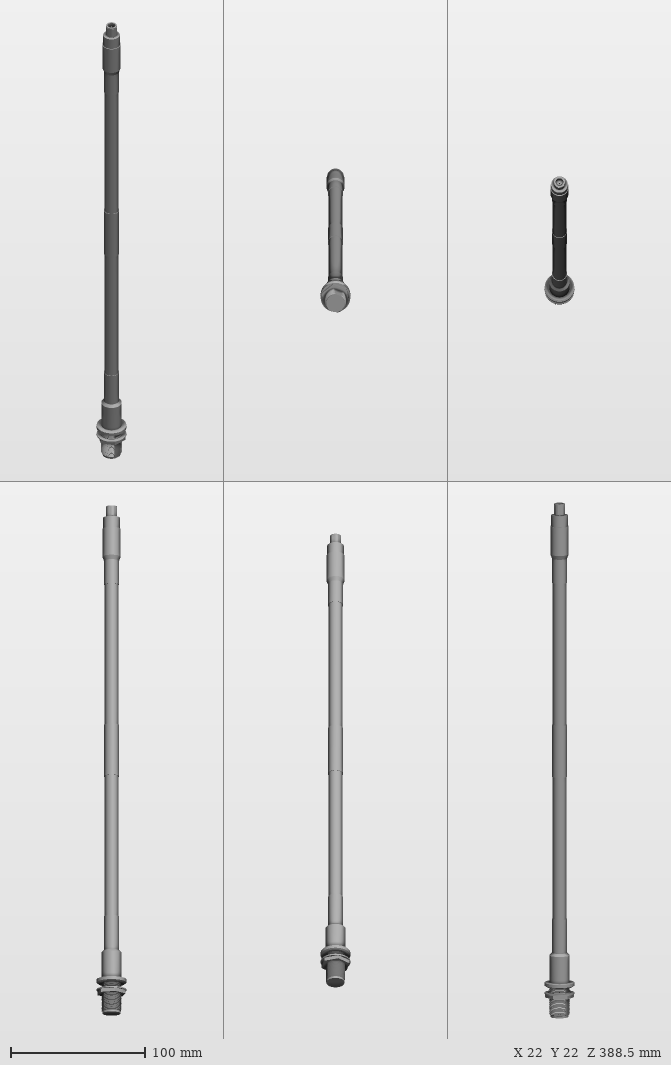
import cadquery as cq
import math

TOTAL_LENGTH = 388.5

CABLE_DIAMETER = 10.5
SLEEVE_DIAMETER = 11.3
LABEL_LENGTH = 39.3
UPPER_SLEEVE_END = 328.8
LOWER_SLEEVE_END = 74.2

PLUG_BODY_DIAMETER = 12.5
PLUG_BODY_TOP = 380.0
PLUG_BODY_BOTTOM = 371.5
PLUG_SLEEVE_DIAMETER = 13.5
PLUG_TAPER_TOP = 350.0
PLUG_TAPER_BOTTOM = 347.0

COUPLING_FLATS = 8.0
COUPLING_TURNED_DIAMETER = 8.5
COUPLING_CHAMFER = 0.6
COUPLING_LIP = 0.8
BORE_DIAMETER = 6.0
BORE_DEPTH = 6.0
INSULATOR_DIAMETER = 3.5
INSULATOR_LENGTH = 2.0
PIN_DIAMETER = 0.95
PIN_LENGTH = 4.5

FLANGE_DIAMETER = 22.0
FLANGE_TOP = 26.5
FLANGE_THICKNESS = 3.5
FLANGE_FACE_DIAMETER = 20.0
FLANGE_UPPER_BEVEL = 0.5
FLANGE_LOWER_BEVEL = 0.8
JACK_SLEEVE_DIAMETER = 15.0
JACK_TAPER_TOP = 48.5
JACK_TAPER_BOTTOM = 46.5

THREAD_DIAMETER = 15.5
THREAD_ROOT_DIAMETER = 14.5
THREAD_START = 2.5
THREAD_TURNS = 21
THREAD_FLATS = 13.2
NOSE_DIAMETER = 13.5
NOSE_LENGTH = 1.5

NUT_BOTTOM = 14.8
NUT_THICKNESS = 2.7
NUT_CORNERS = 21.8
WASHER_DIAMETER = FLANGE_DIAMETER
WASHER_THICKNESS = 0.97
WASHER_RIM_DIAMETER = 16.5
WASHER_RIM_HEIGHT = 0.5

FLANGE_BOTTOM = FLANGE_TOP - FLANGE_THICKNESS


def cylinder(diameter, bottom, top):
    return cq.Workplane("XY").workplane(offset=bottom).circle(diameter / 2).extrude(top - bottom)


def hexagon(across_corners, bottom, top):
    """Hexagonal prism with two corners in the YZ plane."""
    prism = cq.Workplane("XY").polygon(6, across_corners).extrude(top - bottom)
    return prism.rotate((0, 0, 0), (0, 0, 1), 90).translate((0, 0, bottom))


def revolved(profile):
    """Solid of revolution about Z from (diameter, height) points."""
    points = [(diameter / 2, height) for diameter, height in profile]
    return cq.Workplane("XZ").polyline(points).close().revolve(360, (0, 0), (0, 1))


def make_cable():
    return cylinder(CABLE_DIAMETER, FLANGE_TOP, PLUG_BODY_BOTTOM)


def make_label():
    """Short sleeve halfway between the two heat-shrink sleeves."""
    middle = (UPPER_SLEEVE_END + LOWER_SLEEVE_END) / 2
    bottom = middle - LABEL_LENGTH / 2
    top = middle + LABEL_LENGTH / 2
    return cylinder(SLEEVE_DIAMETER, bottom, top).cut(cylinder(CABLE_DIAMETER, bottom, top))


def make_sleeve(wide_diameter, wide_end, taper_start, taper_end, narrow_end):
    """Heat-shrink sleeve, wide beside the connector and tapering to its narrow end."""
    return revolved([
        (CABLE_DIAMETER, wide_end),
        (wide_diameter, wide_end),
        (wide_diameter, taper_start),
        (SLEEVE_DIAMETER, taper_end),
        (SLEEVE_DIAMETER, narrow_end),
        (CABLE_DIAMETER, narrow_end),
    ])


def coupling_shape():
    """Hexagonal coupling with turned corners and a round lip at its open end."""
    lip_bottom = TOTAL_LENGTH - COUPLING_LIP
    across_corners = COUPLING_FLATS / math.cos(math.pi / 6)
    prism = hexagon(across_corners, PLUG_BODY_TOP, lip_bottom)
    turned = cylinder(COUPLING_TURNED_DIAMETER, PLUG_BODY_TOP, lip_bottom)
    turned = turned.faces("<Z").chamfer(COUPLING_CHAMFER)
    lip = cylinder(COUPLING_FLATS, lip_bottom, TOTAL_LENGTH)
    return prism.intersect(turned).union(lip)


def make_plug():
    """Round body and coupling, with an insulator and a pin standing in the bore."""
    bore_floor = TOTAL_LENGTH - BORE_DEPTH
    bore = cylinder(BORE_DIAMETER, bore_floor, TOTAL_LENGTH)
    insulator = cylinder(INSULATOR_DIAMETER, bore_floor, bore_floor + INSULATOR_LENGTH)
    pin = cylinder(PIN_DIAMETER, bore_floor, bore_floor + PIN_LENGTH)
    body = cylinder(PLUG_BODY_DIAMETER, PLUG_BODY_BOTTOM, PLUG_BODY_TOP)
    return body.union(coupling_shape().cut(bore)).union(insulator).union(pin)


def thread_profile():
    """Points of the ring-shaped V grooves, from the start of the thread up to the flange."""
    pitch = (FLANGE_BOTTOM - THREAD_START) / THREAD_TURNS
    points = [(THREAD_DIAMETER, THREAD_START)]
    for turn in range(THREAD_TURNS):
        crest = THREAD_START + turn * pitch
        points.append((THREAD_ROOT_DIAMETER, crest + pitch / 2))
        points.append((THREAD_DIAMETER, crest + pitch))
    return points


def flatted(shape):
    """Trim the two sides of a shank facing +X and -X to the thread flats."""
    slab = cq.Workplane("XY").box(THREAD_FLATS, THREAD_DIAMETER, FLANGE_BOTTOM, centered=(True, True, False))
    return shape.intersect(slab)


def make_jack():
    """Bevelled flange above a threaded shank with two flats."""
    shank = revolved([
        (0, 0),
        (NOSE_DIAMETER, 0),
        (NOSE_DIAMETER, NOSE_LENGTH),
        *thread_profile(),
        (0, FLANGE_BOTTOM),
    ])
    flange = revolved([
        (0, FLANGE_BOTTOM),
        (FLANGE_FACE_DIAMETER, FLANGE_BOTTOM),
        (FLANGE_DIAMETER, FLANGE_BOTTOM + FLANGE_LOWER_BEVEL),
        (FLANGE_DIAMETER, FLANGE_TOP - FLANGE_UPPER_BEVEL),
        (FLANGE_FACE_DIAMETER, FLANGE_TOP),
        (0, FLANGE_TOP),
    ])
    return flatted(shank).union(flange)


def cut_shank_hole(shape):
    """Cut the hole, round with two flats, that fits the thread."""
    return shape.cut(flatted(cylinder(THREAD_DIAMETER, 0, FLANGE_BOTTOM)))


def make_nut():
    return cut_shank_hole(hexagon(NUT_CORNERS, NUT_BOTTOM, NUT_BOTTOM + NUT_THICKNESS))


def make_washer():
    """Flat washer resting on the nut, with a low rim around its hole."""
    bottom = NUT_BOTTOM + NUT_THICKNESS
    top = bottom + WASHER_THICKNESS
    rim = cylinder(WASHER_RIM_DIAMETER, bottom, top + WASHER_RIM_HEIGHT)
    return cut_shank_hole(cylinder(WASHER_DIAMETER, bottom, top).union(rim))


cable = make_cable()
label = make_label()
upper_sleeve = make_sleeve(
    PLUG_SLEEVE_DIAMETER, PLUG_BODY_BOTTOM, PLUG_TAPER_TOP, PLUG_TAPER_BOTTOM, UPPER_SLEEVE_END
)
lower_sleeve = make_sleeve(
    JACK_SLEEVE_DIAMETER, FLANGE_TOP, JACK_TAPER_BOTTOM, JACK_TAPER_TOP, LOWER_SLEEVE_END
)
plug = make_plug()
jack = make_jack()
nut = make_nut()
washer = make_washer()

bodies = [cable, label, upper_sleeve, lower_sleeve, plug, jack, nut, washer]
result = cq.Compound.makeCompound([body.solids().val() for body in bodies])